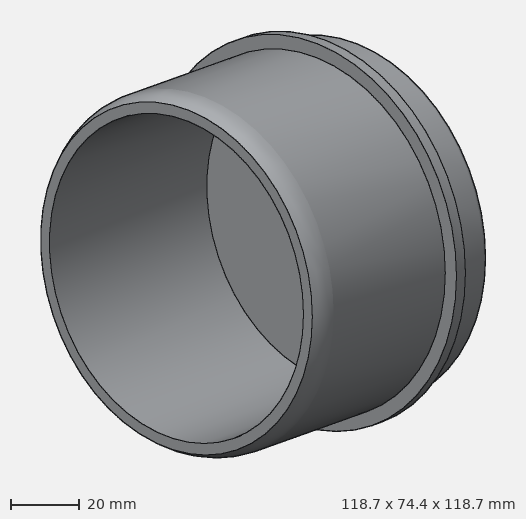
import cadquery as cq
import math

length = 74.4
body_diameter = 110.0
collar_diameter = 118.7
bore_diameter = 98.6

collar_thickness = 3.9
collar_to_closed_end = 15.0
floor_thickness = (body_diameter - bore_diameter) / 2

rim_length = 6.9
rim_depth = 2.3
closed_end_fillet = 2.0

body_radius = body_diameter / 2
open_end = -length / 2
closed_end = length / 2


def cylinder(diameter, start, height):
    """Solid cylinder on the Y axis, growing from y = start towards +Y."""
    cylinder_plane = cq.Plane(origin=(0, start, 0), xDir=(1, 0, 0), normal=(0, 1, 0))
    return cq.Workplane(cylinder_plane).circle(diameter / 2).extrude(height)


def make_body():
    """Revolved outer shape with a rounded rim and a filleted closed end."""
    rim_arc_radius = (rim_length**2 + rim_depth**2) / (2 * rim_depth)
    half_angle = math.asin(rim_length / rim_arc_radius) / 2
    rim_arc_middle = (
        body_radius - rim_arc_radius * (1 - math.cos(half_angle)),
        open_end + rim_length - rim_arc_radius * math.sin(half_angle),
    )
    return (
        cq.Workplane("XY")
        .moveTo(0, open_end)
        .lineTo(body_radius - rim_depth, open_end)
        .threePointArc(rim_arc_middle, (body_radius, open_end + rim_length))
        .lineTo(body_radius, closed_end - closed_end_fillet)
        .tangentArcPoint((body_radius - closed_end_fillet, closed_end), relative=False)
        .lineTo(0, closed_end)
        .close()
        .revolve(360, (0, 0, 0), (0, 1, 0))
    )


collar_start = closed_end - collar_to_closed_end - collar_thickness
collar = cylinder(collar_diameter, collar_start, collar_thickness)
bore = cylinder(bore_diameter, open_end, length - floor_thickness)

result = make_body().union(collar).cut(bore)